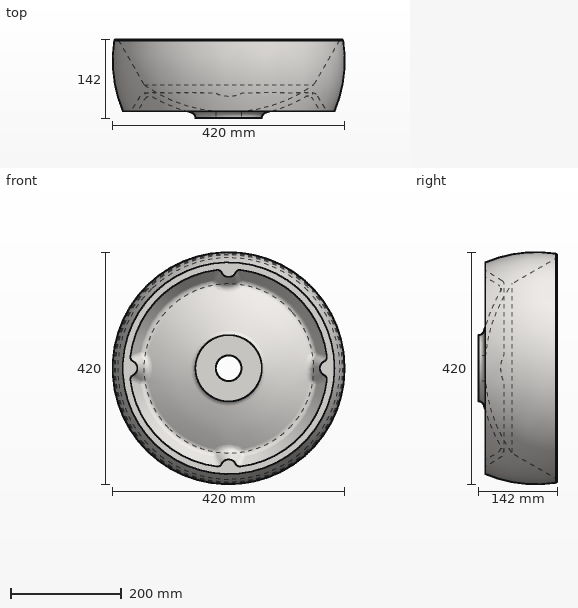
import cadquery as cq
import math


rim_width = 130.0
crown_radius = 210.0
crown_arc_radius = 235.0
crown_peak_y = -38.0
back_chamfer = 2.0

rim_mouth_radius = 178.8
draft_angle = 30.0
dome_radius = 275.0
dome_at_hub = 4.0
dish_fillet = 10.0

back_mouth_radius = 200.5
web_thickness = 10.0

hub_radius = 60.0
hub_projection = 12.0
hub_fillet = 10.0
bore_radius = 23.0

rib_count = 4
rib_radius = 14.0
rib_root_depth = 5.0

edge_tolerance = 0.05

rim_face_y = -rim_width
hub_face_y = rim_face_y - hub_projection
hub_foot_y = rim_face_y - dome_at_hub
dome_center_y = hub_foot_y + math.sqrt(dome_radius**2 - hub_radius**2)
draft_slope = math.tan(math.radians(draft_angle))
inward = cq.Vector(0, 1, 0)


def tread_radius(y):
    """Radius of the crowned tread at the given y."""
    arc_center_radius = crown_radius - crown_arc_radius
    return arc_center_radius + math.sqrt(crown_arc_radius**2 - (y - crown_peak_y) ** 2)


def dome_y(sphere_radius, radius):
    """Position of a sphere about the dome center, at the given distance from the wheel axis."""
    return dome_center_y - math.sqrt(sphere_radius**2 - radius**2)


def wall_meets_dome(mouth_radius, mouth_y, direction, sphere_radius):
    """Sharp corner (radius, y) where a drafted wall, narrowing from its mouth, meets a dome sphere.

    direction is +1 or -1, the way along Y in which the wall runs from its mouth.
    """
    center_depth = (dome_center_y - mouth_y) * direction
    a = 1 + draft_slope**2
    b = -2 * (mouth_radius * draft_slope + center_depth)
    c = mouth_radius**2 + center_depth**2 - sphere_radius**2
    depth = (-b - direction * math.sqrt(b**2 - 4 * a * c)) / (2 * a)
    return mouth_radius - draft_slope * depth, mouth_y + direction * depth


dish_corner_radius, dish_corner_y = wall_meets_dome(rim_mouth_radius, rim_face_y, 1, dome_radius)


def revolve_about_axis(profile):
    return profile.close().revolve(360, (0, 0, 0), (0, 1, 0))


def make_wheel():
    """Crowned wheel with a domed front, hub and drafted rim wall, inner corners sharp."""
    tread_start_y = -back_chamfer
    dome_middle_radius = (hub_radius + dish_corner_radius) / 2
    dome_middle = (dome_middle_radius, dome_y(dome_radius, dome_middle_radius))
    profile = (
        cq.Workplane("XY")
        .lineTo(tread_radius(tread_start_y) - back_chamfer, 0)
        .lineTo(tread_radius(tread_start_y), tread_start_y)
        .threePointArc((crown_radius, crown_peak_y), (tread_radius(rim_face_y), rim_face_y))
        .lineTo(rim_mouth_radius, rim_face_y)
        .lineTo(dish_corner_radius, dish_corner_y)
        .threePointArc(dome_middle, (hub_radius, hub_foot_y))
        .lineTo(hub_radius, hub_face_y)
        .lineTo(0, hub_face_y)
    )
    return revolve_about_axis(profile)


def make_rib():
    """Cone parallel to the wheel axis that widens inward from the rim face, kept inside the tread."""
    rib_length = dish_corner_y - rim_face_y + rib_root_depth
    root_radius = rib_radius + draft_slope * rib_length
    rib_start = cq.Vector(0, rim_face_y, rim_mouth_radius)
    cone = cq.Solid.makeCone(rib_radius, root_radius, rib_length, rib_start, inward)
    rim_face_center = cq.Vector(0, rim_face_y, 0)
    inside_tread = cq.Solid.makeCylinder(tread_radius(rim_face_y), rim_width, rim_face_center, inward)
    return cq.Workplane(cone.intersect(inside_tread))


def add_ribs(wheel):
    rib = make_rib()
    for index in range(rib_count):
        wheel = wheel.union(rib.rotate((0, 0, 0), (0, 1, 0), index * 360 / rib_count))
    return wheel


def fillet_dish(wheel):
    """Round every inner edge between the dome, the rim wall and the ribs in one go."""
    inner_edges = [
        edge
        for edge in wheel.edges().vals()
        if abs(edge.BoundingBox().ymax - dish_corner_y) < edge_tolerance
    ]
    return wheel.newObject(inner_edges).fillet(dish_fillet)


def fillet_hub(wheel):
    """Round the edge where the hub wall meets the dome."""
    hub_foot_center = cq.selectors.NearestToPointSelector((0, hub_foot_y, 0))
    return wheel.edges("%CIRCLE").edges(hub_foot_center).fillet(hub_fillet)


def hollow_back(wheel):
    """Cut the open back, leaving a web of even thickness behind the dome."""
    inner_dome_radius = dome_radius - web_thickness
    corner_radius, corner_y = wall_meets_dome(back_mouth_radius, 0, -1, inner_dome_radius)
    middle_radius = corner_radius / 2
    inner_dome_middle = (middle_radius, dome_y(inner_dome_radius, middle_radius))
    profile = (
        cq.Workplane("XY")
        .lineTo(back_mouth_radius, 0)
        .lineTo(corner_radius, corner_y)
        .threePointArc(inner_dome_middle, (0, dome_y(inner_dome_radius, 0)))
    )
    return wheel.cut(revolve_about_axis(profile))


def cut_bore(wheel):
    hub_face_center = cq.Vector(0, hub_face_y, 0)
    bore = cq.Solid.makeCylinder(bore_radius, -hub_face_y, hub_face_center, inward)
    return wheel.cut(cq.Workplane(bore))


result = make_wheel()
result = add_ribs(result)
result = fillet_dish(result)
result = fillet_hub(result)
result = hollow_back(result)
result = cut_bore(result).solids()